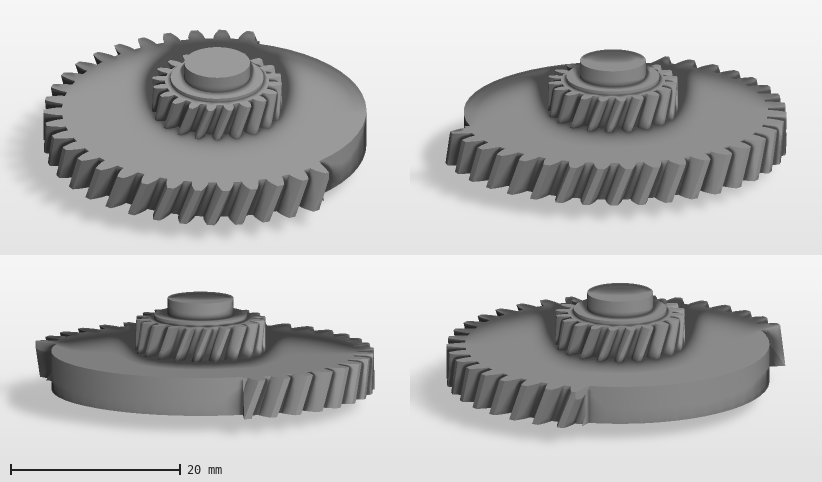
import cadquery as cq
import math

hub_height = 1.95
wheel_width = 4.55
pinion_width = 3.95
collar_height = 0.5
pin_height = 1.95

wheel_bottom = hub_height
pinion_bottom = wheel_bottom + wheel_width
collar_bottom = pinion_bottom + pinion_width
pin_bottom = collar_bottom + collar_height

hub_diameter = 11.0
pin_diameter = 7.8


wheel_teeth = 39
wheel_tip_radius = 20.5
wheel_base_radius = 18.45
wheel_root_radius = 18.32
wheel_base_tooth_angle = 6.1
wheel_phase = 97.1
wheel_helix_angle = 21.5

pinion_teeth = 20
pinion_tip_radius = 7.65
pinion_base_radius = 6.6
pinion_root_radius = 6.15
pinion_base_tooth_angle = 10.1
pinion_phase = 12
pinion_helix_angle = 22

sector_radius = 17.63
first_wall_inner = (-0.85, 17.6)
first_wall_outer = (-0.3, 20.58)
last_wall_inner = (15.37, -8.53)
last_wall_outer = (17.42, -10.85)

flank_steps = 4


def polar(radius, angle):
    """Point at a radius and an angle in the XY plane."""
    return (radius * math.cos(math.radians(angle)), radius * math.sin(math.radians(angle)))


def involute_angle(radius, base_radius):
    """Angle that an involute sweeps between its base circle and a radius."""
    pressure_angle = math.acos(base_radius / radius)
    return math.degrees(math.tan(pressure_angle) - pressure_angle)


def helical_gear(teeth, tip_radius, base_radius, root_radius, base_tooth_angle, phase, helix_angle, width):
    """Gear with involute flanks that run radially from the base circle down to the root."""
    twist = math.degrees(width * math.tan(math.radians(helix_angle)) / tip_radius)
    pitch_angle = 360 / teeth
    half_base = base_tooth_angle / 2
    radii = [base_radius + (tip_radius - base_radius) * i / flank_steps for i in range(flank_steps + 1)]
    flank = [(radius, half_base - involute_angle(radius, base_radius)) for radius in radii]

    first_center = phase - twist
    outline = cq.Workplane("XY").moveTo(*polar(root_radius, first_center - half_base))
    for tooth in range(teeth):
        center = first_center + tooth * pitch_angle
        rising = [polar(radius, center - offset) for radius, offset in flank]
        falling = [polar(radius, center + offset) for radius, offset in reversed(flank)]
        next_root = polar(root_radius, center + pitch_angle - half_base)
        outline = (
            outline.lineTo(*rising[0])
            .spline(rising[1:], includeCurrent=True)
            .threePointArc(polar(tip_radius, center), falling[0])
            .spline(falling[1:], includeCurrent=True)
            .lineTo(*polar(root_radius, center + half_base))
            .threePointArc(polar(root_radius, center + pitch_angle / 2), next_root)
        )
    return outline.close().twistExtrude(width, twist)


def disc(diameter, bottom, height):
    """Round disc centred on the gear axis."""
    return cq.Workplane("XY").workplane(offset=bottom).circle(diameter / 2).extrude(height)


def toothless_sector():
    """Material outside the sector radius, between the two straight walls."""
    clearance = 2 * wheel_tip_radius
    region = (
        cq.Workplane("XY")
        .polyline([
            (0, 0), first_wall_inner, first_wall_outer, (first_wall_outer[0], clearance),
            (clearance, clearance), (clearance, last_wall_outer[1]), last_wall_outer, last_wall_inner,
        ])
        .close()
        .extrude(wheel_width)
    )
    return region.cut(disc(2 * sector_radius, 0, wheel_width))


wheel = helical_gear(
    wheel_teeth, wheel_tip_radius, wheel_base_radius, wheel_root_radius,
    wheel_base_tooth_angle, wheel_phase, wheel_helix_angle, wheel_width,
).cut(toothless_sector())

pinion = helical_gear(
    pinion_teeth, pinion_tip_radius, pinion_base_radius, pinion_root_radius,
    pinion_base_tooth_angle, pinion_phase, pinion_helix_angle, pinion_width,
)

hub = disc(hub_diameter, 0, hub_height)
collar = disc(hub_diameter, collar_bottom, collar_height)
pin = disc(pin_diameter, pin_bottom, pin_height)

result = (
    wheel.translate((0, 0, wheel_bottom))
    .union(pinion.translate((0, 0, pinion_bottom)))
    .union(hub)
    .union(collar)
    .union(pin)
)